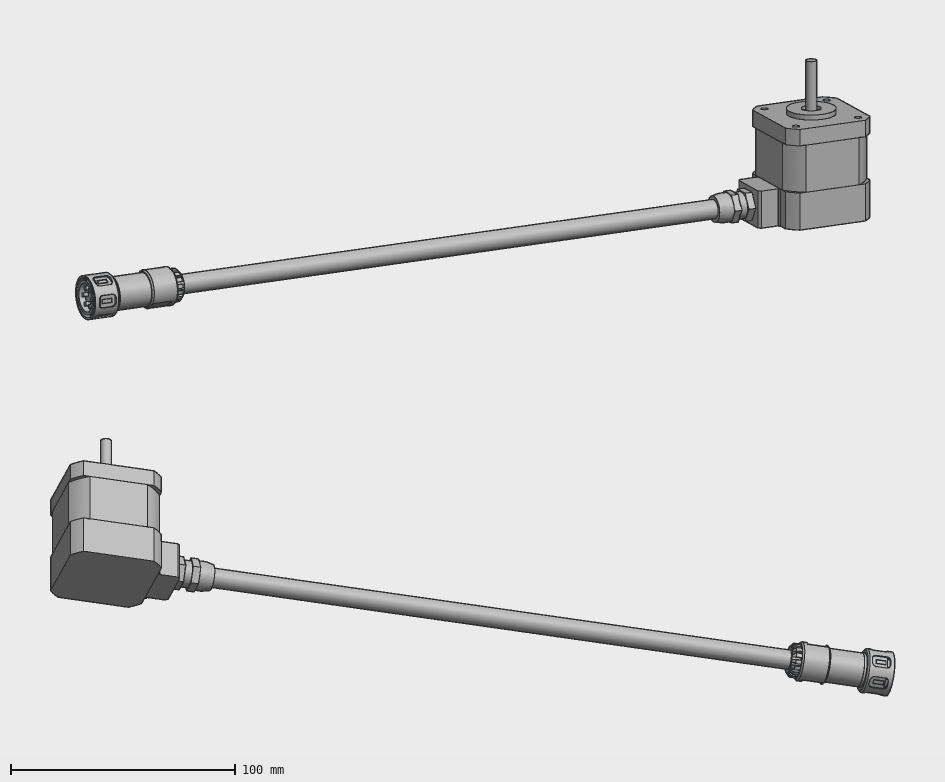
import cadquery as cq

MOTOR_WIDTH = 42.2
COVER_CORNER_DIAMETER = 53.5
STATOR_CORNER_DIAMETER = 50.0
REAR_HEIGHT = 17.3
STATOR_HEIGHT = 22.0
FRONT_HEIGHT = 7.5
STATOR_TOP = REAR_HEIGHT + STATOR_HEIGHT
FRONT_TOP = STATOR_TOP + FRONT_HEIGHT
PILOT_DIAMETER = 22.3
PILOT_HEIGHT = 2.3
PILOT_TOP = FRONT_TOP + PILOT_HEIGHT
SHAFT_RECESS_DIAMETER = 9.0
SHAFT_RECESS_DEPTH = 1.5
SCREW_SPACING = 31.0
SCREW_DIAMETER = 3.0
SCREW_DEPTH = 4.5

SHAFT_DIAMETER = 5.0
SHAFT_TOP = 71.5
SHAFT_BOTTOM = STATOR_TOP

REAR_FACE_Y = -MOTOR_WIDTH / 2
CABLE_AXIS_Z = REAR_HEIGHT / 2
BASE_WIDTH = 22.5
BASE_LENGTH = 0.8
BLOCK_WIDTH = 21.0
BLOCK_LENGTH = 10.5
BLOCK_CHAMFER = 1.0
HEX_ACROSS_CORNERS = 15.0
HEX_LENGTH = 3.5
NECK_DIAMETER = 12.3
NECK_LENGTH = 3.5
HEX_COUNT = 2
COLLAR_DIAMETER = 13.5
COLLAR_LENGTH = 7.0
COLLAR_TAPER_LENGTH = 3.5
COLLAR_TAPER_DEPTH = 0.8
BLOCK_END_Y = REAR_FACE_Y - BLOCK_LENGTH
COLLAR_START_Y = BLOCK_END_Y - HEX_COUNT * HEX_LENGTH - (HEX_COUNT - 1) * NECK_LENGTH
OUTLET_END_Y = COLLAR_START_Y - COLLAR_LENGTH

OVERALL_LENGTH = 384.0
MATING_FACE_Y = MOTOR_WIDTH / 2 - OVERALL_LENGTH
RING_DIAMETER = 20.0
RING_LENGTH = 12.3
RING_CHAMFER = 0.8
POCKET_COUNT = 6
POCKET_LENGTH = 8.5
POCKET_WIDTH = 5.8
POCKET_CORNER_RADIUS = 2.0
POCKET_DEPTH = 1.0
POCKET_WALL = 2.0
POCKET_ISLAND_HEIGHT = 0.5
SLEEVE_GAP_OUTER_DIAMETER = 18.0
SLEEVE_DIAMETER = 15.7
SOCKET_DIAMETER = 13.0
SOCKET_DEPTH = 3.0
PIN_COUNT = 6
PIN_CIRCLE_DIAMETER = 8.5
PIN_DIAMETER = 2.0
PIN_LENGTH = 2.3
SHOULDER_DIAMETER = 15.7
SHOULDER_LENGTH = 1.0
BARREL_DIAMETER = 15.5
BARREL_LENGTH = 15.7
NUT_DIAMETER = 17.5
NUT_LENGTH = 13.0
NUT_CHAMFER = 0.8
NUT_FLAT_ANGLE = 33.0
NUT_FLAT_LENGTH = 9.5
NUT_FLAT_DEPTH = 0.8
CLAMP_DIAMETER = 15.5
CLAMP_LENGTH = 4.2
CLAMP_CHAMFER = 1.5
CLAMP_SLOT_COUNT = 16
CLAMP_SLOT_WIDTH = 1.0
CLAMP_SLOT_DEPTH = 1.5
SHOULDER_Y = MATING_FACE_Y + RING_LENGTH
BARREL_Y = SHOULDER_Y + SHOULDER_LENGTH
NUT_Y = BARREL_Y + BARREL_LENGTH
CLAMP_Y = NUT_Y + NUT_LENGTH
CONNECTOR_BACK_Y = CLAMP_Y + CLAMP_LENGTH

CABLE_DIAMETER = 9.0


def cable_plane(y):
    """Plane square to the cable axis at the given Y; positive extrusion runs toward -Y."""
    return cq.Workplane("XZ", origin=(0, y, CABLE_AXIS_Z))


def rod(diameter, high_y, length):
    return cable_plane(high_y).circle(diameter / 2).extrude(length)


def around_cable_axis(solid, angle):
    return solid.rotate((0, 0, CABLE_AXIS_Z), (0, 1, CABLE_AXIS_Z), angle)


def motor_section(corner_diameter, bottom, height):
    """Square slab whose corners follow a circle about the shaft axis."""
    base = cq.Workplane("XY", origin=(0, 0, bottom))
    square = base.rect(MOTOR_WIDTH, MOTOR_WIDTH).extrude(height)
    corner_round = base.circle(corner_diameter / 2).extrude(height)
    return square.intersect(corner_round)


def make_front_cover():
    cover = motor_section(COVER_CORNER_DIAMETER, STATOR_TOP, FRONT_HEIGHT)
    face = cq.Workplane("XY", origin=(0, 0, FRONT_TOP))
    cover = cover.union(face.circle(PILOT_DIAMETER / 2).extrude(PILOT_HEIGHT))
    pilot_face = cq.Workplane("XY", origin=(0, 0, PILOT_TOP))
    shaft_recess = pilot_face.circle(SHAFT_RECESS_DIAMETER / 2).extrude(-SHAFT_RECESS_DEPTH)
    shaft_bore = pilot_face.circle(SHAFT_DIAMETER / 2).extrude(SHAFT_BOTTOM - PILOT_TOP)
    screw_holes = (
        face.rect(SCREW_SPACING, SCREW_SPACING, forConstruction=True)
        .vertices()
        .circle(SCREW_DIAMETER / 2)
        .extrude(-SCREW_DEPTH)
    )
    return cover.cut(shaft_recess).cut(shaft_bore).cut(screw_holes)


def make_stator():
    return motor_section(STATOR_CORNER_DIAMETER, REAR_HEIGHT, STATOR_HEIGHT)


def make_rear_cover():
    return motor_section(COVER_CORNER_DIAMETER, 0, REAR_HEIGHT)


def make_shaft():
    base = cq.Workplane("XY", origin=(0, 0, SHAFT_BOTTOM))
    return base.circle(SHAFT_DIAMETER / 2).extrude(SHAFT_TOP - SHAFT_BOTTOM)


def make_lead_outlet():
    block = cable_plane(REAR_FACE_Y).rect(BLOCK_WIDTH, REAR_HEIGHT).extrude(BLOCK_LENGTH)
    block = block.faces("<Y").edges("|Z").chamfer(BLOCK_CHAMFER)
    base = cable_plane(REAR_FACE_Y).rect(BASE_WIDTH, REAR_HEIGHT).extrude(BASE_LENGTH)
    outlet = block.union(base)
    neck_run = rod(NECK_DIAMETER, BLOCK_END_Y, BLOCK_END_Y - COLLAR_START_Y)
    outlet = outlet.union(neck_run)
    for index in range(HEX_COUNT):
        hex_y = BLOCK_END_Y - index * (HEX_LENGTH + NECK_LENGTH)
        outlet = outlet.union(cable_plane(hex_y).polygon(6, HEX_ACROSS_CORNERS).extrude(HEX_LENGTH))
    collar = rod(COLLAR_DIAMETER, COLLAR_START_Y, COLLAR_LENGTH)
    collar = collar.faces("<Y").chamfer(COLLAR_TAPER_LENGTH, COLLAR_TAPER_DEPTH)
    return outlet.union(collar)


def make_cable():
    return rod(CABLE_DIAMETER, OUTLET_END_Y, OUTLET_END_Y - CONNECTOR_BACK_Y)


def make_coupling_ring():
    ring = rod(RING_DIAMETER, SHOULDER_Y, RING_LENGTH).faces(">Y").chamfer(RING_CHAMFER)
    floor_z = CABLE_AXIS_Z + RING_DIAMETER / 2 - POCKET_DEPTH
    floor = cq.Workplane("XY", origin=(0, MATING_FACE_Y + RING_LENGTH / 2, floor_z))
    pocket = (
        floor.rect(POCKET_WIDTH, POCKET_LENGTH)
        .extrude(RING_DIAMETER / 2)
        .edges("|Z")
        .fillet(POCKET_CORNER_RADIUS)
    )
    island = floor.rect(POCKET_WIDTH - 2 * POCKET_WALL, POCKET_LENGTH - 2 * POCKET_WALL)
    pocket = pocket.cut(island.extrude(POCKET_ISLAND_HEIGHT))
    pitch = 360 / POCKET_COUNT
    for index in range(POCKET_COUNT):
        ring = ring.cut(around_cable_axis(pocket, (index + 0.5) * pitch))
    socket_floor_y = MATING_FACE_Y + SOCKET_DEPTH
    sleeve_gap = (
        cable_plane(socket_floor_y)
        .circle(SLEEVE_GAP_OUTER_DIAMETER / 2)
        .circle(SLEEVE_DIAMETER / 2)
        .extrude(SOCKET_DEPTH)
    )
    ring = ring.cut(sleeve_gap).cut(rod(SOCKET_DIAMETER, socket_floor_y, SOCKET_DEPTH))
    pins = (
        cable_plane(socket_floor_y)
        .polarArray(PIN_CIRCLE_DIAMETER / 2, 0, 360, PIN_COUNT)
        .circle(PIN_DIAMETER / 2)
        .extrude(PIN_LENGTH)
    )
    return ring.union(pins)


def make_nut():
    nut = rod(NUT_DIAMETER, CLAMP_Y, NUT_LENGTH).faces("<Y or >Y").chamfer(NUT_CHAMFER)
    flat_z = CABLE_AXIS_Z + NUT_DIAMETER / 2 - NUT_FLAT_DEPTH
    flat_cut = (
        cq.Workplane("XY", origin=(0, NUT_Y + NUT_FLAT_LENGTH / 2 + NUT_CHAMFER, flat_z))
        .rect(NUT_DIAMETER, NUT_FLAT_LENGTH)
        .extrude(NUT_DIAMETER)
    )
    for side in (0, 180):
        nut = nut.cut(around_cable_axis(flat_cut, side - NUT_FLAT_ANGLE))
    return nut


def make_clamp():
    clamp = rod(CLAMP_DIAMETER, CONNECTOR_BACK_Y, CLAMP_LENGTH).faces(">Y").chamfer(CLAMP_CHAMFER)
    slot = cq.Workplane("XY").box(CLAMP_SLOT_WIDTH, CLAMP_LENGTH, 2 * CLAMP_SLOT_DEPTH)
    slot_y = CLAMP_Y + CLAMP_LENGTH / 2
    slot = slot.translate((0, slot_y, CABLE_AXIS_Z + CLAMP_DIAMETER / 2))
    for index in range(CLAMP_SLOT_COUNT):
        clamp = clamp.cut(around_cable_axis(slot, index * 360 / CLAMP_SLOT_COUNT))
    return clamp


def make_connector():
    shoulder = rod(SHOULDER_DIAMETER, BARREL_Y, SHOULDER_LENGTH)
    barrel = rod(BARREL_DIAMETER, NUT_Y, BARREL_LENGTH)
    connector = make_coupling_ring()
    for section in (shoulder, barrel, make_nut(), make_clamp()):
        connector = connector.union(section)
    return connector


front_cover = make_front_cover()
stator = make_stator()
rear_cover = make_rear_cover()
shaft = make_shaft()
lead_outlet = make_lead_outlet()
cable = make_cable()
connector = make_connector()

result = cq.Compound.makeCompound(
    [
        front_cover.val(),
        stator.val(),
        rear_cover.val(),
        shaft.val(),
        lead_outlet.val(),
        cable.val(),
        connector.val(),
    ]
)